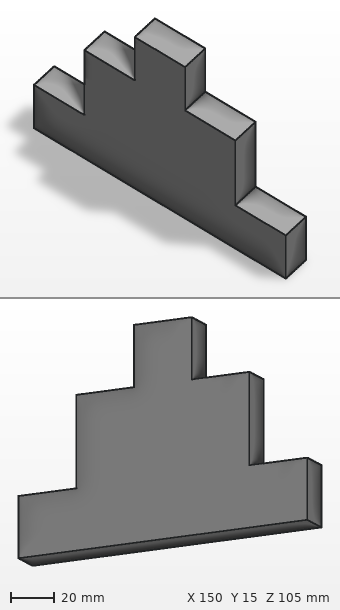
import cadquery as cq

thickness = 15
step_run = 30
base_width = 150

tier_heights = [30, 45, 30]


def tier(level):
    """Centred rectangular tier, resting on all the tiers below it."""
    width = base_width - 2 * step_run * level
    bottom = sum(tier_heights[:level])
    return (
        cq.Workplane("XY")
        .workplane(offset=bottom)
        .rect(width, thickness)
        .extrude(tier_heights[level])
    )


result = tier(0)
for level in range(1, len(tier_heights)):
    result = result.union(tier(level))

result = result.clean()